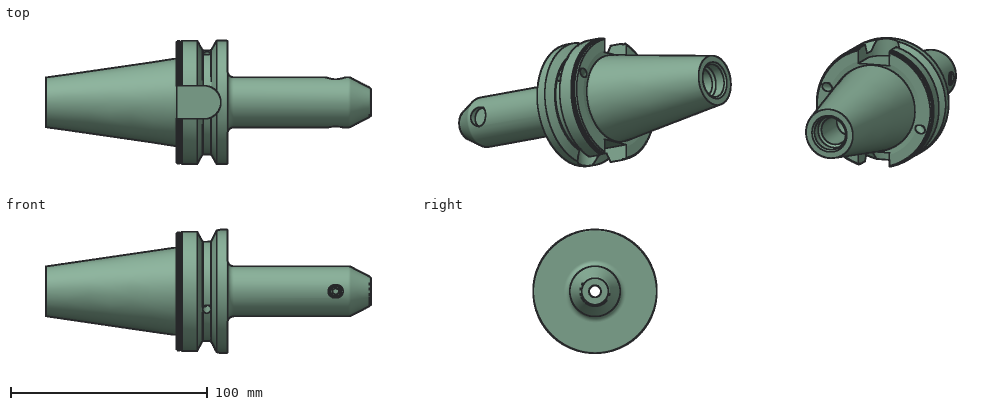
import cadquery as cq
import math

total_length = 165.4
taper_ratio = 7 / 24
gauge_x = 65.3
gauge_diameter = 44.5
gauge_radius = gauge_diameter / 2
small_end_radius = gauge_radius - gauge_x * taper_ratio / 2
flange_start = 66.3
flange_end = 92.5
flange_diameter = 63.0
flange_radius = flange_diameter / 2
rim_rounding = 0.8

ring_radius = 31.3
ring_edge_radius = 30.6
ring_bevel_length = 0.8
ring_groove_start = 67.8
ring_groove_end = 69.3
ring_groove_radius = 31.0
ring_groove_slope = 0.5

recess_radius = 25.1
recess_depth = 0.3

groove_center = 81.9
groove_floor_width = 4.3
groove_rounding = 0.5
groove_floor_radius = 26.6
flank_angle = 30
flank_run = (flange_radius - groove_floor_radius) * math.tan(math.radians(flank_angle))
groove_floor_start = groove_center - groove_floor_width / 2
groove_floor_end = groove_center + groove_floor_width / 2

nose_diameter = 25.6
nose_radius = nose_diameter / 2
nose_fillet = 3.0
nose_cone_start = 154.5
nose_cone_rounding = 2.5
tip_chamfer = 0.8
tip_radius = 7.6

slot_width = 16.9
slot_floor = 22.7
slot_end = 89.0

mouth_radius = 9.5
pilot_radius = 8.5
mouth_chamfer = mouth_radius - pilot_radius
pilot_depth = 6.5
thread_radius = 7.1
thread_depth = 30.6
drill_angle = 118
tool_radius = 3.0

coolant_radius = 2.2
coolant_pitch_radius = 26.8
coolant_angle = 20
coolant_lead_in = 2.5
coolant_tilt = 36

screw_x = 147.4
screw_radius = 3.0
screw_top = 11.9
screw_chamfer = 0.5
socket_sides = 6
socket_flats = 3.0
socket_depth = 3.6
countersink_radius = 3.8
balance_radius = 5
balance_floor = 9.5


def rounded_outline(corners):
    """Closed outline through (x, z, corner radius) triples, with tangent arcs at the rounded corners."""
    outline = cq.Workplane("XZ").moveTo(*corners[0][:2])
    for index in range(1, len(corners)):
        corner = cq.Vector(*corners[index][:2])
        radius = corners[index][2]
        if radius == 0:
            outline = outline.lineTo(corner.x, corner.y)
            continue
        to_before = (cq.Vector(*corners[index - 1][:2]) - corner).normalized()
        to_after = (cq.Vector(*corners[index + 1][:2]) - corner).normalized()
        half_angle = to_before.getAngle(to_after) / 2
        tangent_length = radius / math.tan(half_angle)
        middle_distance = radius / math.sin(half_angle) - radius
        arc_start = corner + to_before * tangent_length
        arc_middle = corner + (to_before + to_after).normalized() * middle_distance
        arc_end = corner + to_after * tangent_length
        outline = outline.lineTo(arc_start.x, arc_start.y)
        outline = outline.threePointArc((arc_middle.x, arc_middle.y), (arc_end.x, arc_end.y))
    return outline.close()


def turned_body():
    outline = rounded_outline([
        (0, 0, 0),
        (0, small_end_radius, 0),
        (gauge_x, gauge_radius, 0),
        (flange_start + recess_depth, gauge_radius, 0),
        (flange_start, recess_radius, 0),
        (flange_start, ring_edge_radius, 0),
        (flange_start + ring_bevel_length, ring_radius, 0),
        (ring_groove_start, ring_radius, 0),
        (ring_groove_start + ring_groove_slope, ring_groove_radius, 0),
        (ring_groove_end - ring_groove_slope, ring_groove_radius, 0),
        (ring_groove_end, flange_radius, 0),
        (groove_floor_start - flank_run, flange_radius, 0),
        (groove_floor_start, groove_floor_radius, groove_rounding),
        (groove_floor_end, groove_floor_radius, groove_rounding),
        (groove_floor_end + flank_run, flange_radius, 0),
        (flange_end, flange_radius, rim_rounding),
        (flange_end, nose_radius, nose_fillet),
        (nose_cone_start, nose_radius, nose_cone_rounding),
        (total_length - tip_chamfer, tip_radius, 0),
        (total_length, tip_radius - tip_chamfer, 0),
        (total_length, 0, 0),
    ])
    return outline.revolve(360, (0, 0, 0), (1, 0, 0))


def axial_bore():
    drill_tip = (thread_radius - tool_radius) / math.tan(math.radians(drill_angle / 2))
    return (
        cq.Workplane("XZ")
        .polyline([
            (0, 0),
            (0, mouth_radius),
            (mouth_chamfer, pilot_radius),
            (pilot_depth, pilot_radius),
            (pilot_depth + pilot_radius - thread_radius, thread_radius),
            (thread_depth, thread_radius),
            (thread_depth + drill_tip, tool_radius),
            (total_length, tool_radius),
            (total_length, 0),
        ])
        .close()
        .revolve(360, (0, 0, 0), (1, 0, 0))
    )


def drive_slot():
    half = slot_width / 2
    arc_center = slot_end - half
    return (
        cq.Workplane("XY", origin=(0, 0, slot_floor))
        .moveTo(gauge_x, -half)
        .lineTo(arc_center, -half)
        .threePointArc((slot_end, 0), (arc_center, half))
        .lineTo(gauge_x, half)
        .close()
        .extrude(flange_radius)
    )


def coolant_hole(angle):
    """Passage sloping from the flange face to the bore, met by a radial hole from the groove floor."""
    slope = math.tan(math.radians(coolant_tilt))
    face_point = cq.Vector(flange_start, coolant_pitch_radius, 0)
    bore_point = cq.Vector(flange_start + coolant_pitch_radius / slope, 0, 0)
    passage_run = bore_point - face_point
    start = face_point - passage_run.normalized() * coolant_lead_in
    length = passage_run.Length + coolant_lead_in
    passage = cq.Solid.makeCylinder(coolant_radius, length, start, passage_run)

    meeting_radius = coolant_pitch_radius - (groove_center - flange_start) * slope
    radial_hole = cq.Solid.makeCylinder(
        coolant_radius,
        flange_radius - meeting_radius,
        cq.Vector(groove_center, meeting_radius, 0),
        cq.Vector(0, 1, 0),
    )
    return cq.Workplane(passage.fuse(radial_hole)).rotate((0, 0, 0), (1, 0, 0), angle)


def screw_hole():
    plane = cq.Workplane("XZ", origin=(screw_x, 0, 0))
    hole = plane.circle(screw_radius).extrude(nose_radius)
    cone = (
        plane.workplane(offset=screw_top)
        .circle(screw_radius)
        .workplane(offset=nose_radius - screw_top)
        .circle(countersink_radius)
        .loft(ruled=True)
    )
    return hole.union(cone)


def balance_hole():
    return (
        cq.Workplane("XZ", origin=(screw_x, balance_floor, 0))
        .circle(balance_radius)
        .extrude(-nose_radius)
    )


def make_holder():
    body = turned_body().cut(axial_bore())
    for turn in (0, 180):
        body = body.cut(drive_slot().rotate((0, 0, 0), (1, 0, 0), turn))
        body = body.cut(coolant_hole(coolant_angle + turn))
    return body.cut(screw_hole()).cut(balance_hole())


def make_clamp_screw():
    length = screw_top - tool_radius
    corner_diameter = socket_flats / math.cos(math.pi / socket_sides)
    socket = (
        cq.Workplane("XZ", origin=(screw_x, -(screw_top - socket_depth), 0))
        .transformed(rotate=(0, 0, 90))
        .polygon(socket_sides, corner_diameter)
        .extrude(socket_depth)
    )
    return (
        cq.Workplane("XZ", origin=(screw_x, -tool_radius, 0))
        .circle(screw_radius)
        .extrude(length)
        .faces("<Y")
        .chamfer(screw_chamfer)
        .cut(socket)
    )


holder = make_holder()
clamp_screw = make_clamp_screw()
result = cq.Compound.makeCompound([holder.val(), clamp_screw.val()])